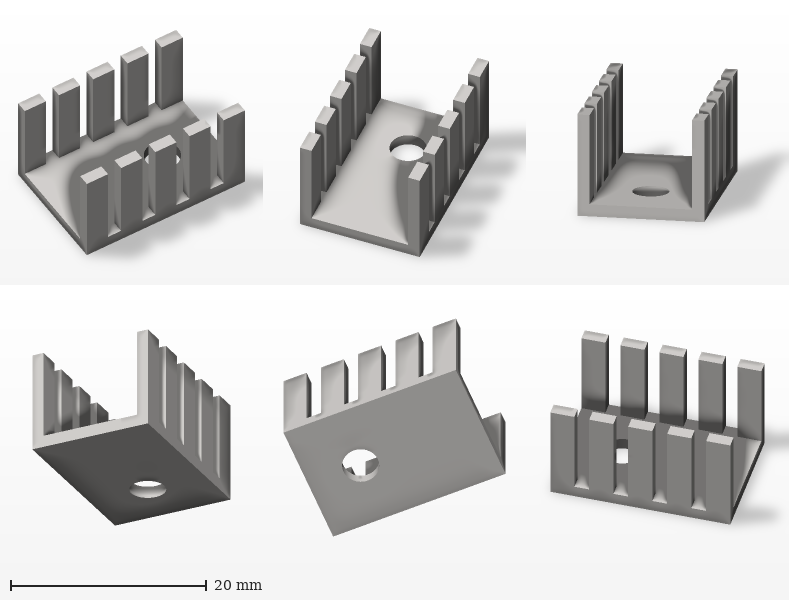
import cadquery as cq

width = 13.2
length = 19.1
height = 10.8
thickness = 1.28

fin_count = 5
fin_length = 2.55
fin_pitch = (length - fin_length) / (fin_count - 1)
fin_center_x = (width - thickness) / 2

hole_diameter = 3.8
hole_to_back_edge = 5.8
hole_y = length / 2 - hole_to_back_edge


def make_base():
    """Flat plate with its underside at Z = 0 and the mounting hole cut through."""
    plate = cq.Workplane("XY").box(width, length, thickness, centered=(True, True, False))
    return plate.faces(">Z").workplane(origin=(0, 0, 0)).center(0, hole_y).hole(hole_diameter)


def make_fins(center_x):
    """One row of evenly spaced fins, as thick as the base and starting at its underside."""
    return (
        cq.Workplane("XY")
        .center(center_x, 0)
        .rarray(0.2, fin_pitch, 1, fin_count)
        .rect(thickness, fin_length)
        .extrude(height)
    )


result = make_base()
for side in (-1, 1):
    result = result.union(make_fins(side * fin_center_x))